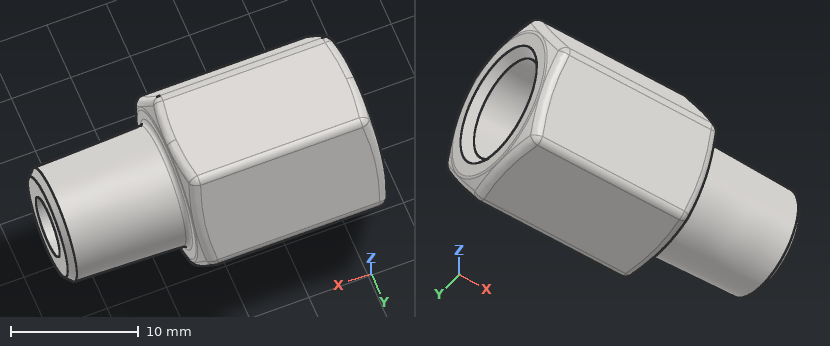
import cadquery as cq
import math

total_length = 26.0
hex_length = 16.0
across_flats = 14.0
bevel_start_radius = 6.32
bevel_angle = 20.0
hex_edge_radius = 0.8
bevel_rim_radius = 0.68
corner_clearance = 0.25

taper = 1 / 32
spigot_tip_radius = 4.73
spigot_chamfer = 0.55
neck_fillet = 0.4

mouth_radius = 5.1
bore_radius = 4.35
bore_end_radius = 4.0
hole_radius = 2.5
bore_cone_angle = 60.0

spigot_root_radius = spigot_tip_radius + (total_length - hex_length) * taper
across_corners = across_flats / math.cos(math.pi / 6)


def turn(profile):
    """Revolve a closed XZ profile around the X axis."""
    return profile.revolve(360, (0, 0, 0), (1, 0, 0))


def make_hex_body():
    """Hexagonal prism, flats at top and bottom, with beveled and rounded ends."""
    prism = cq.Workplane("YZ").polygon(6, across_corners).extrude(hex_length)

    slope = math.radians(bevel_angle)
    outer_radius = across_corners / 2 + corner_clearance
    bevel_depth = (outer_radius - bevel_start_radius) * math.tan(slope)

    rim_setback = bevel_rim_radius * math.tan(slope / 2)
    rim_inner_radius = bevel_start_radius - rim_setback
    rim_outer_radius = bevel_start_radius + rim_setback * math.cos(slope)
    rim_depth = rim_setback * math.sin(slope)
    rim_mid_radius = rim_inner_radius + bevel_rim_radius * math.sin(slope / 2)
    rim_mid_depth = bevel_rim_radius * (1 - math.cos(slope / 2))

    bevel_profile = (
        cq.Workplane("XZ")
        .moveTo(0, 0)
        .lineTo(0, rim_inner_radius)
        .threePointArc((rim_mid_depth, rim_mid_radius), (rim_depth, rim_outer_radius))
        .lineTo(bevel_depth, outer_radius)
        .lineTo(hex_length - bevel_depth, outer_radius)
        .lineTo(hex_length - rim_depth, rim_outer_radius)
        .threePointArc((hex_length - rim_mid_depth, rim_mid_radius), (hex_length, rim_inner_radius))
        .lineTo(hex_length, 0)
        .close()
    )
    body = prism.intersect(turn(bevel_profile))
    return body.edges("not %CIRCLE").fillet(hex_edge_radius)


def make_spigot():
    """Tapered spigot with a chamfered tip and a concave fillet at its root."""
    root_edge_radius = spigot_root_radius + neck_fillet
    fillet_mid = neck_fillet * (1 - math.sqrt(0.5))
    fillet_end_x = hex_length + neck_fillet
    fillet_end_radius = spigot_root_radius - neck_fillet * taper
    chamfer_x = total_length - spigot_chamfer
    chamfer_radius = spigot_tip_radius + spigot_chamfer * taper
    spigot_profile = (
        cq.Workplane("XZ")
        .moveTo(hex_length / 2, 0)
        .lineTo(hex_length / 2, root_edge_radius)
        .lineTo(hex_length, root_edge_radius)
        .threePointArc(
            (hex_length + fillet_mid, spigot_root_radius + fillet_mid),
            (fillet_end_x, fillet_end_radius),
        )
        .lineTo(chamfer_x, chamfer_radius)
        .lineTo(total_length, spigot_tip_radius - spigot_chamfer)
        .lineTo(total_length, 0)
        .close()
    )
    return turn(spigot_profile)


def make_bore():
    """Countersunk tapered bore narrowing through a cone to the through hole."""
    countersink_depth = mouth_radius - bore_radius
    bore_end = countersink_depth + (bore_radius - bore_end_radius) / taper
    cone_length = (bore_end_radius - hole_radius) / math.tan(math.radians(bore_cone_angle / 2))
    bore_profile = (
        cq.Workplane("XZ")
        .moveTo(0, 0)
        .lineTo(0, mouth_radius)
        .lineTo(countersink_depth, bore_radius)
        .lineTo(bore_end, bore_end_radius)
        .lineTo(bore_end + cone_length, hole_radius)
        .lineTo(total_length, hole_radius)
        .lineTo(total_length, 0)
        .close()
    )
    return turn(bore_profile)


result = make_hex_body().union(make_spigot()).cut(make_bore())